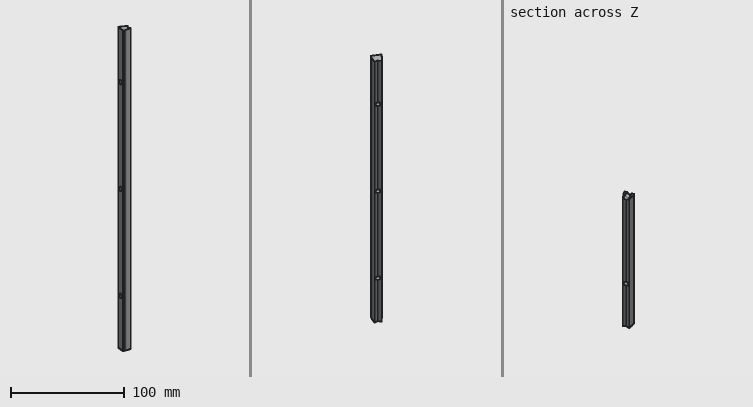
import cadquery as cq
import math

LENGTH = 304.8
BASE_WIDTH = 9.4
HEIGHT = 8.66

SHOULDER_HEIGHT = 3.0
DRAFT_ANGLE = 15.0
VEE_DEPTH = 1.2
GROOVE_BOTTOM = 1.1
GROOVE_TOP = 2.0
GROOVE_DEPTH = 0.1

HOLE_DIAMETER = 4.3
HOLE_COUNT = 3
HOLE_SPACING = LENGTH / HOLE_COUNT

HALF_BASE = BASE_WIDTH / 2
BASE_Y = -HEIGHT / 2
CREST_Y = HEIGHT / 2
HALF_CREST = HALF_BASE - (HEIGHT - SHOULDER_HEIGHT) * math.tan(math.radians(DRAFT_ANGLE))


def make_bar():
    """Bar along Z: upright lower sides, tapered upper sides and a vee along the +Y crest."""
    shoulder_y = BASE_Y + SHOULDER_HEIGHT
    outline = [
        (-HALF_BASE, BASE_Y),
        (HALF_BASE, BASE_Y),
        (HALF_BASE, shoulder_y),
        (HALF_CREST, CREST_Y),
        (0, CREST_Y - VEE_DEPTH),
        (-HALF_CREST, CREST_Y),
        (-HALF_BASE, shoulder_y),
    ]
    return cq.Workplane("XY").polyline(outline).close().extrude(LENGTH / 2, both=True)


def make_side_grooves():
    """Shallow rectangular grooves running the full length of both upright sides."""
    groove_y = BASE_Y + (GROOVE_BOTTOM + GROOVE_TOP) / 2
    centers = [(side * HALF_BASE, groove_y) for side in (-1, 1)]
    return (
        cq.Workplane("XY")
        .pushPoints(centers)
        .rect(2 * GROOVE_DEPTH, GROOVE_TOP - GROOVE_BOTTOM)
        .extrude(LENGTH / 2, both=True)
    )


def make_mounting_holes():
    """Plain holes through the bar along Y."""
    return (
        cq.Workplane("XZ")
        .rarray(HOLE_SPACING, HOLE_SPACING, 1, HOLE_COUNT)
        .circle(HOLE_DIAMETER / 2)
        .extrude(HEIGHT, both=True)
    )


result = make_bar().cut(make_side_grooves()).cut(make_mounting_holes())